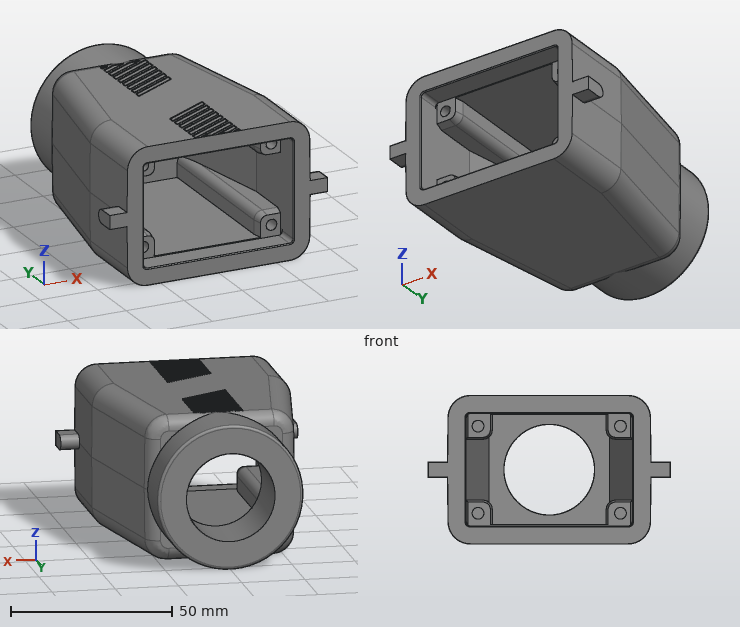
import cadquery as cq
import math

LENGTH = 86.5
HEIGHT = 46.0

FACE_WIDTH = 63.15
REAR_WIDTH = 46.2
TAPER_START = 26.4
BODY_LENGTH = 72.5
SIDE_DRAFT = 0.7
CORNER_RADIUS = 6.9
REAR_ROUND = 4.3

ENTRY_DIAMETER = HEIGHT
ENTRY_ROUND = 0.9
ENTRY_BORE = 28.0

LUG_SPAN = 75.0
LUG_THICKNESS = 4.7
LUG_LENGTH = 8.0

MOUTH_WIDTH = 51.55
MOUTH_HEIGHT = 34.8
MOUTH_DEPTH = 8.0
MOUTH_CORNER = 1.3
MOUTH_CHAMFER = 0.35
RIM_ANGLE = 45.0
CAVITY_HEIGHT = 34.1
CAVITY_REAR_WIDTH = 37.2
CAVITY_DEPTH = 65.7

POST_INNER_X = 17.65
POST_INNER_Z = 9.4
POST_CORNER = 2.85
POST_START = MOUTH_DEPTH
POST_NOSE_LENGTH = 3.3
POST_NOSE_INSET = 0.6
SCREW_X = 22.1
SCREW_Z = 13.5
SCREW_DIAMETER = 3.6
SCREW_DEPTH = 17.3

GRIP_WIDTH = 15.4
GRIP_FRONT = 0.5
GRIP_REAR = 68.0
GRIP_ANGLE = 30.0
GRIP_STRIPE = 2.1
GRIP_DEPTH = 0.3
STRIPES_PER_GROUP = 9
GROUP_SPAN = 25.95
GRIP_PITCH = GROUP_SPAN / (STRIPES_PER_GROUP - 1)
FRONT_GROUP_END = 16.7
REAR_GROUP_START = 40.65

OVERRUN = 1.7


def taper_outline(front_width, rear_width, length):
    """Plan outline, straight up to TAPER_START, then converging; overruns both ends."""
    front, rear = front_width / 2, rear_width / 2
    slope = (front - rear) / (length - TAPER_START)
    past_rear = rear - slope * OVERRUN
    return cq.Workplane("XY").polyline([
        (-front, -OVERRUN),
        (front, -OVERRUN),
        (front, TAPER_START),
        (past_rear, length + OVERRUN),
        (-past_rear, length + OVERRUN),
        (-front, TAPER_START),
    ]).close()


def slab(length, height):
    """Full-width block reaching from the mating face back to the given length."""
    return cq.Workplane("XY").box(LUG_SPAN, length, height, centered=(True, False, True))


def across_y(y):
    """Work plane across the Y axis, facing the mating face, with local X = +X and local Y = +Z."""
    return cq.Workplane("XZ", origin=(0, y, 0))


def make_body():
    """Solid body whose sides draft inward from the parting line at mid height."""
    outline = taper_outline(FACE_WIDTH, REAR_WIDTH, BODY_LENGTH)
    upper = outline.extrude(HEIGHT / 2, taper=SIDE_DRAFT)
    body = upper.union(upper.mirror("XY"))
    body = body.intersect(slab(BODY_LENGTH, HEIGHT))
    body = body.faces(">Z or <Z").edges("not (|X)").fillet(CORNER_RADIUS)
    return body.faces(">Y").edges().fillet(REAR_ROUND)


def make_entry():
    entry = across_y(LENGTH).circle(ENTRY_DIAMETER / 2).extrude(LENGTH - TAPER_START)
    return entry.faces(">Y").edges().fillet(ENTRY_ROUND)


def make_lugs():
    """One bar through the body whose two ends stick out as round-backed lugs."""
    half = LUG_THICKNESS / 2
    round_start = LUG_LENGTH - half
    outline = (
        cq.Workplane("YZ")
        .moveTo(0, half)
        .lineTo(round_start, half)
        .threePointArc((LUG_LENGTH, 0), (round_start, -half))
        .lineTo(0, -half)
        .close()
    )
    return outline.extrude(LUG_SPAN / 2, both=True)


def make_post():
    """Screw post for the +X, +Z corner, with a nose narrowing toward the mouth."""
    shaft_start = POST_START + POST_NOSE_LENGTH
    shaft_end = CAVITY_DEPTH + OVERRUN
    width = MOUTH_WIDTH / 2 - POST_INNER_X
    height = MOUTH_HEIGHT / 2 + OVERRUN - POST_INNER_Z
    center = (POST_INNER_X + width / 2, POST_INNER_Z + height / 2)

    nose_taper = math.degrees(math.atan(POST_NOSE_INSET / POST_NOSE_LENGTH))
    shaft = across_y(shaft_end).center(*center).rect(width, height)
    shaft = shaft.extrude(shaft_end - shaft_start)
    shaft = shaft.edges("|Y and <X and <Z").fillet(POST_CORNER)
    front_outline = shaft.faces("<Y").wires().toPending().workplane()
    return front_outline.extrude(POST_NOSE_LENGTH, taper=nose_taper)


def make_cavity():
    """Hollow behind the mouth, following the body taper, with the four screw posts left standing."""
    outline = taper_outline(MOUTH_WIDTH, CAVITY_REAR_WIDTH, CAVITY_DEPTH)
    hollow = outline.extrude(CAVITY_HEIGHT / 2, both=True)
    hollow = hollow.intersect(slab(CAVITY_DEPTH, CAVITY_HEIGHT))
    hollow = hollow.edges("#Z and (not |X)").edges(">Z or <Z").fillet(MOUTH_CORNER)
    post = make_post()
    left_and_right = post.union(post.mirror("YZ"))
    return hollow.cut(left_and_right).cut(left_and_right.mirror("XY"))


def make_mouth():
    """Shallow rectangular pocket with a chamfered rim."""
    pocket = across_y(MOUTH_DEPTH).rect(MOUTH_WIDTH, MOUTH_HEIGHT).extrude(MOUTH_DEPTH)
    pocket = pocket.edges("|Y").fillet(MOUTH_CORNER)
    rim = across_y(MOUTH_CHAMFER).sketch().rect(MOUTH_WIDTH, MOUTH_HEIGHT)
    rim = rim.vertices().fillet(MOUTH_CORNER).finalize().extrude(MOUTH_CHAMFER, taper=-RIM_ANGLE)
    return pocket.union(rim)


def make_screw_holes():
    spots = [(x, z) for x in (-SCREW_X, SCREW_X) for z in (-SCREW_Z, SCREW_Z)]
    end = POST_START + SCREW_DEPTH
    return across_y(end).pushPoints(spots).circle(SCREW_DIAMETER / 2).extrude(SCREW_DEPTH)


def make_bore():
    start = CAVITY_DEPTH - OVERRUN
    return across_y(LENGTH).circle(ENTRY_BORE / 2).extrude(LENGTH - start)


def stripe(left_corner_y):
    """One slanted grip recess, given the Y of its front-left corner."""
    rise = GRIP_WIDTH * math.tan(math.radians(GRIP_ANGLE))
    half = GRIP_WIDTH / 2
    floor = cq.Workplane("XY", origin=(0, 0, HEIGHT / 2 - GRIP_DEPTH))
    return floor.polyline([
        (-half, left_corner_y),
        (half, left_corner_y + rise),
        (half, left_corner_y + rise + GRIP_STRIPE),
        (-half, left_corner_y + GRIP_STRIPE),
    ]).close().extrude(GRIP_DEPTH)


def make_grip():
    """Two groups of evenly spaced recesses, trimmed square at the ends of the grip band."""
    offsets = [i * GRIP_PITCH for i in range(STRIPES_PER_GROUP)]
    starts = [FRONT_GROUP_END - offset for offset in offsets]
    starts += [REAR_GROUP_START + offset for offset in offsets]
    band_length = GRIP_REAR - GRIP_FRONT
    band = slab(band_length, HEIGHT).translate((0, GRIP_FRONT, 0))
    stripes = cq.Workplane("XY")
    for start in starts:
        stripes = stripes.add(stripe(start))
    return stripes.combine().intersect(band)


result = make_body().union(make_entry()).union(make_lugs())
result = result.cut(make_mouth()).cut(make_cavity()).cut(make_bore())
result = result.cut(make_screw_holes()).cut(make_grip())